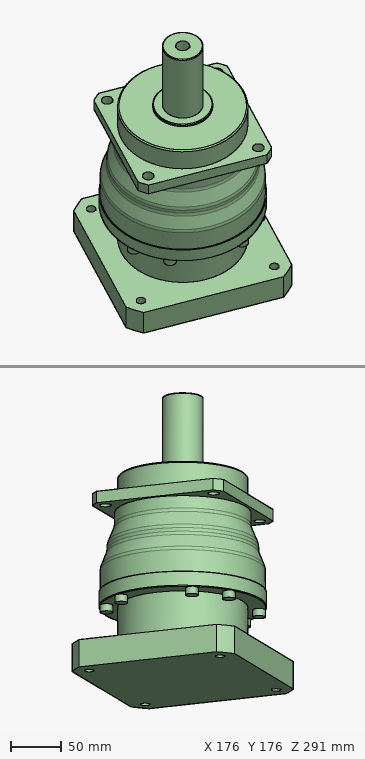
import cadquery as cq
import math

TOTAL_HEIGHT = 291.0

BASE_SIDE = 176.0
BASE_THICKNESS = 28.2
BASE_CORNER_RADIUS = 115.2
BASE_HOLE_SPACING = 141.7
BASE_HOLE_DIAMETER = 9.3

FLANGE_SIDE = 142.0
FLANGE_BOTTOM = 172.0
FLANGE_TOP = 184.0
FLANGE_CORNER_RADIUS = 95.0
FLANGE_HOLE_SPACING = 117.0
FLANGE_HOLE_DIAMETER = 11.3

MOTOR_RADIUS = 65.0
RING_RADIUS = 83.5
RING_BOTTOM = 74.8
RING_TOP = 90.2
RING_CHAMFER = 1.0
BODY_RADIUS = 82.4
LOWER_CONE_BOTTOM = 114.7
LOWER_CONE_TOP = 131.5
WAIST_RADIUS = 75.7
UPPER_CONE_BOTTOM = 139.0
UPPER_CONE_TOP = 157.5
NECK_RADIUS = 68.0
CONE_BLEND_RADIUS = 10.0
PILOT_RADIUS = 65.0
PILOT_TOP = 208.6
PILOT_CHAMFER = 1.5

COLLAR_RADIUS = 30.0
COLLAR_TOP = 211.3
COLLAR_CHAMFER = 1.0
SHAFT_RADIUS = 20.5
SHAFT_CHAMFER = 1.0
CENTRE_HOLE_RADIUS = 7.0
CENTRE_HOLE_DEPTH = 29.0
DRILL_POINT_ANGLE = 118.0

SCREW_CIRCLE_RADIUS = 76.5
SCREW_HEAD_RADIUS = 6.5
SCREW_HEAD_BOTTOM = 67.5
SCREW_ANGLES = [quarter + offset for quarter in (0, 90, 180, 270) for offset in (30, 60)]


def cylinder(radius, bottom, top):
    return cq.Workplane("XY").workplane(offset=bottom).circle(radius).extrude(top - bottom)


def square_plate(side, bottom, top, corner_radius, hole_spacing, hole_diameter):
    """Square plate with turned corners and a through hole near each corner."""
    height = top - bottom
    plate = cq.Workplane("XY").workplane(offset=bottom).rect(side, side).extrude(height)
    plate = plate.intersect(cylinder(corner_radius, bottom, top))
    holes = (
        cq.Workplane("XY")
        .workplane(offset=bottom)
        .rect(hole_spacing, hole_spacing, forConstruction=True)
        .vertices()
        .circle(hole_diameter / 2)
        .extrude(height)
    )
    return plate.cut(holes)


def tapered_body():
    """Body that narrows over two cones, with every bend of the outline blended."""
    body = (
        cq.Workplane("XZ")
        .moveTo(0, RING_TOP)
        .lineTo(BODY_RADIUS, RING_TOP)
        .lineTo(BODY_RADIUS, LOWER_CONE_BOTTOM)
        .lineTo(WAIST_RADIUS, LOWER_CONE_TOP)
        .lineTo(WAIST_RADIUS, UPPER_CONE_BOTTOM)
        .lineTo(NECK_RADIUS, UPPER_CONE_TOP)
        .lineTo(NECK_RADIUS, FLANGE_BOTTOM)
        .lineTo(0, FLANGE_BOTTOM)
        .close()
        .revolve(360, (0, 0, 0), (0, 1, 0))
    )
    margin = CONE_BLEND_RADIUS / 4
    bends = cq.selectors.BoxSelector(
        (-BODY_RADIUS, -BODY_RADIUS, LOWER_CONE_BOTTOM - margin),
        (BODY_RADIUS, BODY_RADIUS, UPPER_CONE_TOP + margin),
    )
    return body.edges("%CIRCLE").edges(bends).fillet(CONE_BLEND_RADIUS)


def screw_heads():
    heads = cq.Workplane("XY")
    for angle in SCREW_ANGLES:
        x = SCREW_CIRCLE_RADIUS * math.cos(math.radians(angle))
        y = SCREW_CIRCLE_RADIUS * math.sin(math.radians(angle))
        head = cylinder(SCREW_HEAD_RADIUS, SCREW_HEAD_BOTTOM, RING_TOP)
        heads = heads.union(head.translate((x, y, 0)))
    return heads


def centre_hole():
    """Blind drilled hole in the shaft end, with a conical bottom."""
    floor = TOTAL_HEIGHT - CENTRE_HOLE_DEPTH
    point_depth = CENTRE_HOLE_RADIUS / math.tan(math.radians(DRILL_POINT_ANGLE / 2))
    return (
        cq.Workplane("XZ")
        .moveTo(0, TOTAL_HEIGHT)
        .lineTo(CENTRE_HOLE_RADIUS, TOTAL_HEIGHT)
        .lineTo(CENTRE_HOLE_RADIUS, floor)
        .lineTo(0, floor - point_depth)
        .close()
        .revolve(360, (0, 0, 0), (0, 1, 0))
    )


base = square_plate(
    BASE_SIDE, 0, BASE_THICKNESS, BASE_CORNER_RADIUS, BASE_HOLE_SPACING, BASE_HOLE_DIAMETER
)
flange = square_plate(
    FLANGE_SIDE, FLANGE_BOTTOM, FLANGE_TOP, FLANGE_CORNER_RADIUS, FLANGE_HOLE_SPACING, FLANGE_HOLE_DIAMETER
)
motor_housing = cylinder(MOTOR_RADIUS, BASE_THICKNESS, RING_BOTTOM)
ring = cylinder(RING_RADIUS, RING_BOTTOM, RING_TOP).edges("<Z").chamfer(RING_CHAMFER)
pilot = cylinder(PILOT_RADIUS, FLANGE_TOP, PILOT_TOP).edges(">Z").chamfer(PILOT_CHAMFER)
collar = cylinder(COLLAR_RADIUS, PILOT_TOP, COLLAR_TOP).edges(">Z").chamfer(COLLAR_CHAMFER)
shaft = cylinder(SHAFT_RADIUS, COLLAR_TOP, TOTAL_HEIGHT).edges(">Z").chamfer(SHAFT_CHAMFER)

result = base
for section in (motor_housing, ring, tapered_body(), flange, pilot, collar, shaft, screw_heads()):
    result = result.union(section)
result = result.cut(centre_hole())